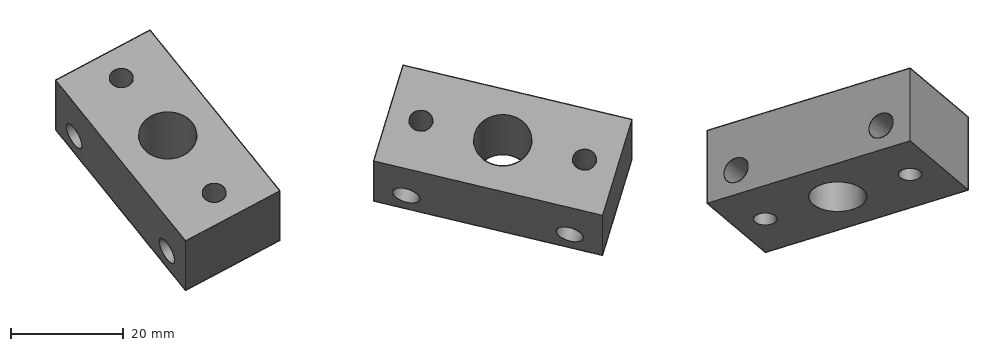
import cadquery as cq

length = 42.0
width = 20.0
height = 15.0

bore_diameter = 10.3
vertical_hole_diameter = 4.2
cross_hole_diameter = 5.0
hole_spacing = 30.0
cross_hole_height = height / 3

hole_positions = [-hole_spacing / 2, hole_spacing / 2]


def vertical_hole(x, diameter):
    """Cylinder through the full height of the block."""
    return cq.Workplane("XY").center(x, 0).circle(diameter / 2).extrude(height)


def cross_hole(x):
    """Cylinder along Y through the full width of the block."""
    return (
        cq.Workplane("XZ")
        .center(x, cross_hole_height)
        .circle(cross_hole_diameter / 2)
        .extrude(width / 2, both=True)
    )


block = cq.Workplane("XY").box(length, width, height, centered=(True, True, False))
result = block.cut(vertical_hole(0, bore_diameter))

for x in hole_positions:
    result = result.cut(vertical_hole(x, vertical_hole_diameter))
    result = result.cut(cross_hole(x))